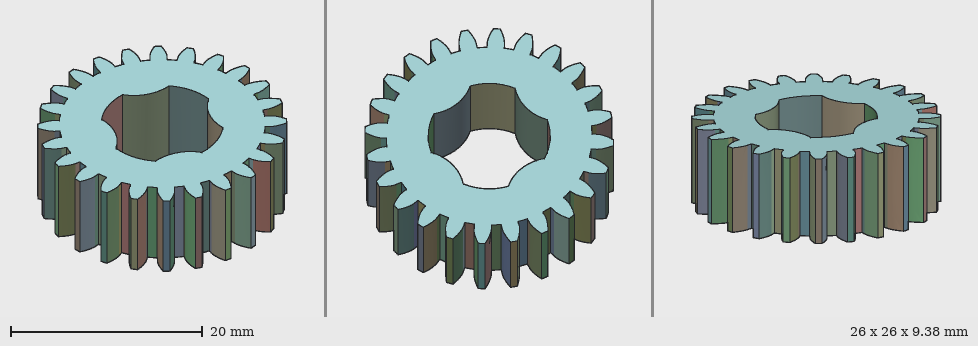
import cadquery as cq
import math

tooth_count = 24
pressure_angle = math.radians(20)
outer_diameter = 26.0
face_width = 9.38
dedendum_factor = 1.25

module = outer_diameter / (tooth_count + 2)
outer_radius = outer_diameter / 2
pitch_radius = module * tooth_count / 2
base_radius = pitch_radius * math.cos(pressure_angle)
root_radius = pitch_radius - dedendum_factor * module
tooth_pitch = 2 * math.pi / tooth_count

bore_radius = 6.37
lobe_count = 4
lobe_radius = 4.9
lobe_reach = 5.15
lobe_center_distance = lobe_reach + lobe_radius

flank_points = 7


def involute(angle):
    return math.tan(angle) - angle


def polar(radius, angle):
    return (radius * math.cos(angle), radius * math.sin(angle))


def tooth_half_angle(radius):
    """Half the angle a tooth spans at a radius on or outside the base circle."""
    local_pressure_angle = math.acos(base_radius / radius)
    return tooth_pitch / 4 + involute(pressure_angle) - involute(local_pressure_angle)


base_half_angle = tooth_half_angle(base_radius)

base_half_width = base_radius * math.sin(base_half_angle)
root_half_angle = math.asin(base_half_width / root_radius)


def flank_radii():
    """Radii from base circle to tip, closer together near the base where the involute is tightest."""
    depth = outer_radius - base_radius
    return [base_radius + depth * (i / (flank_points - 1)) ** 2 for i in range(flank_points)]


def add_tooth(outline, axis_angle):
    """Draw one tooth and the root arc after it, starting from the foot of its clockwise flank."""
    radii = flank_radii()
    rising = [polar(r, axis_angle - tooth_half_angle(r)) for r in radii]
    falling = [polar(r, axis_angle + tooth_half_angle(r)) for r in reversed(radii)]
    next_foot = axis_angle + tooth_pitch - root_half_angle
    return (
        outline.lineTo(*rising[0])
        .spline(rising[1:], includeCurrent=True)
        .threePointArc(polar(outer_radius, axis_angle), falling[0])
        .spline(falling[1:], includeCurrent=True)
        .lineTo(*polar(root_radius, axis_angle + root_half_angle))
        .threePointArc(polar(root_radius, axis_angle + tooth_pitch / 2), polar(root_radius, next_foot))
    )


def gear_blank():
    outline = cq.Workplane("XY").moveTo(*polar(root_radius, -root_half_angle))
    for i in range(tooth_count):
        outline = add_tooth(outline, i * tooth_pitch)
    return outline.close().extrude(face_width)


def lobed_bore():
    bore = cq.Workplane("XY").circle(bore_radius).extrude(face_width)
    lobes = (
        cq.Workplane("XY")
        .polarArray(lobe_center_distance, 0, 360, lobe_count)
        .circle(lobe_radius)
        .extrude(face_width)
    )
    return bore.cut(lobes)


result = gear_blank().cut(lobed_bore())